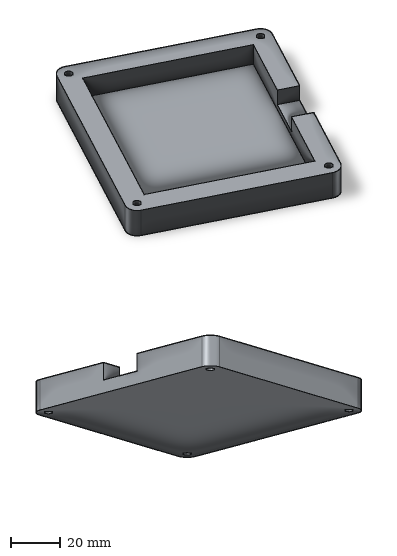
import cadquery as cq

length = 101.0
width = 92.2
height = 13.0
corner_radius = 5.0

wall = 9.6
floor_thickness = 3.0

notch_width = 18.8
notch_center_x = 0.4
notch_depth = 7.5

hole_diameter = 3.4
hole_inset = corner_radius


def outer_block():
    block = cq.Workplane("XY").box(length, width, height, centered=(True, True, False))
    return block.edges("|Z").fillet(corner_radius)


def pocket():
    return (
        cq.Workplane("XY", origin=(0, 0, floor_thickness))
        .rect(length - 2 * wall, width - 2 * wall)
        .extrude(height - floor_thickness)
    )


def cable_notch():
    return (
        cq.Workplane("XY", origin=(notch_center_x, (width - wall) / 2, height - notch_depth))
        .rect(notch_width, wall)
        .extrude(notch_depth)
    )


def screw_holes():
    return (
        cq.Workplane("XY")
        .rect(length - 2 * hole_inset, width - 2 * hole_inset, forConstruction=True)
        .vertices()
        .circle(hole_diameter / 2)
        .extrude(height)
    )


result = outer_block().cut(pocket()).cut(cable_notch()).cut(screw_holes())